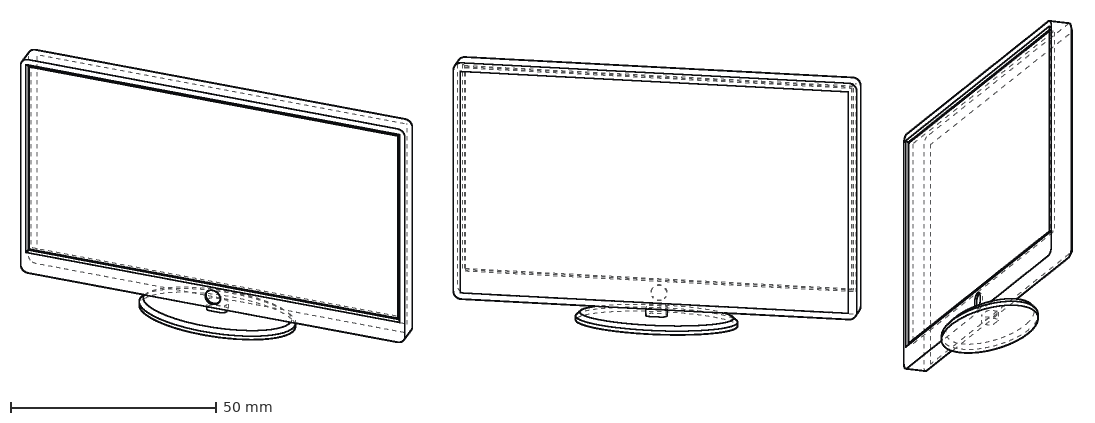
import cadquery as cq

width = 100.0
height = 60.0
front_y = -3.2
depth = 6.2
corner_radius = 2.0
back_chamfer_depth = 1.0
back_chamfer_inset = 1.9

side_border = 1.3
top_border = 1.5
bottom_border = 5.7
rim_inset = 0.5
rim_depth = 0.5
screen_ledge = 0.3
screen_thickness = 1.0

button_diameter = 3.9
button_depth = 0.5
button_height = 2.9

foot_length = 40.0
foot_width = 20.0
foot_thickness = 2.0
foot_chamfer = 1.0
neck_length = 5.2
neck_width = 3.1
neck_radius = 1.2
neck_height = 2.0

housing_bottom = foot_thickness + neck_height
opening_width = width - 2 * side_border
opening_height = height - top_border - bottom_border
opening_center_z = housing_bottom + bottom_border + opening_height / 2
seat_width = opening_width - 2 * rim_inset
seat_height = opening_height - 2 * rim_inset
seat_y = front_y + rim_depth


def plane_facing_back(y, z):
    """Sketch plane at depth y, centred on height z, with its normal along +Y."""
    return cq.Workplane(cq.Plane(origin=(0, y, z), xDir=(1, 0, 0), normal=(0, 1, 0)))


def make_bezel_rim():
    """Tapered cutter for the sloping rim around the screen."""
    return (
        plane_facing_back(front_y, opening_center_z)
        .rect(opening_width, opening_height)
        .workplane(offset=rim_depth)
        .rect(seat_width, seat_height)
        .loft(ruled=True)
    )


def make_screen():
    """Flat panel let into the floor of the rim, flush with the ledge around it."""
    return (
        plane_facing_back(seat_y, opening_center_z)
        .rect(seat_width - 2 * screen_ledge, seat_height - 2 * screen_ledge)
        .extrude(screen_thickness)
    )


def make_housing(screen):
    """Rounded box with a chamfered back, screen opening and button recess."""
    shell = (
        plane_facing_back(front_y, housing_bottom + height / 2)
        .rect(width, height)
        .extrude(depth)
        .edges("|Y")
        .fillet(corner_radius)
        .faces(">Y")
        .chamfer(back_chamfer_depth, back_chamfer_inset)
    )
    button_recess = (
        plane_facing_back(front_y, housing_bottom + button_height)
        .circle(button_diameter / 2)
        .extrude(button_depth)
    )
    return shell.cut(make_bezel_rim()).cut(screen).cut(button_recess)


def make_stand():
    """Elliptical foot with a chamfered top edge, carrying a rounded neck."""
    foot = (
        cq.Workplane("XY")
        .ellipse(foot_length / 2, foot_width / 2)
        .extrude(foot_thickness)
        .faces(">Z")
        .chamfer(foot_chamfer)
    )
    neck = (
        cq.Workplane("XY", origin=(0, 0, foot_thickness))
        .rect(neck_length, neck_width)
        .extrude(neck_height)
        .edges("|Z")
        .fillet(neck_radius)
    )
    return foot.union(neck)


screen = make_screen()
housing = make_housing(screen)
stand = make_stand()

result = cq.Compound.makeCompound([housing.val(), screen.val(), stand.val()])